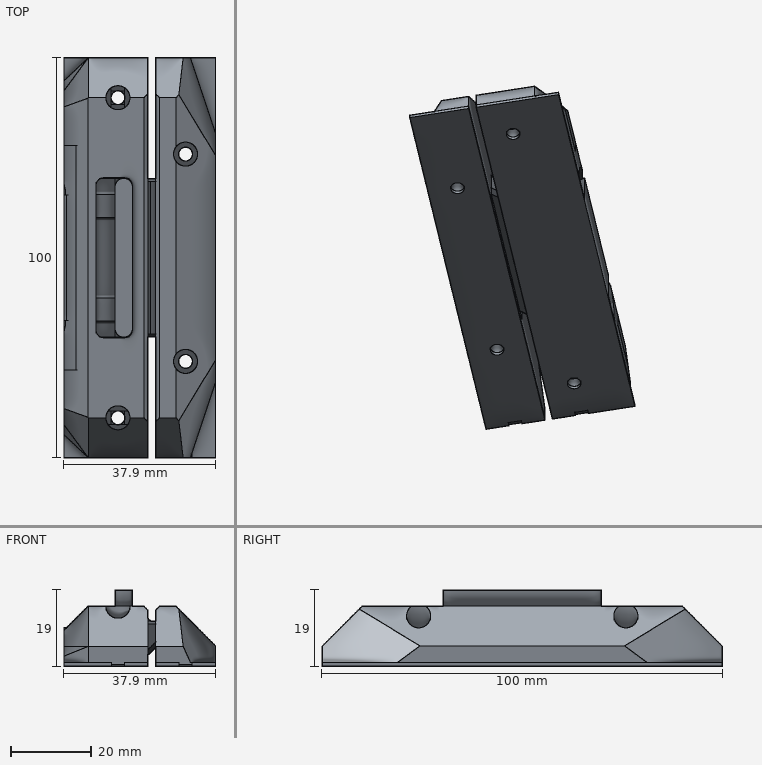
import cadquery as cq
import math

SIN_45 = math.sin(math.radians(45))

LENGTH = 100.0
HALF_LENGTH = LENGTH / 2
HOUSING_WIDTH = 21.0
GAP = 1.9
KEEPER_WIDTH = 15.0
KEEPER_X = HOUSING_WIDTH + GAP
TOTAL_WIDTH = KEEPER_X + KEEPER_WIDTH
PAD_THICKNESS = 1.0
TOP_Z = 15.0

END_WALL_Z = 5.0
END_SLOPE = TOP_Z - END_WALL_Z
GAP_EDGE_CHAMFER = 1.0

HOUSING_SLOPE = 6.0
HOUSING_WALL_Z = TOP_Z - HOUSING_SLOPE
CORNER_X = 6.1
CORNER_Y = 5.8
CORNER_SIDE_Z = 2.5

KEEPER_TOP_EDGE_X = 28.0
KEEPER_SLOPE = TOTAL_WIDTH - KEEPER_TOP_EDGE_X
KEEPER_WALL_Z = TOP_Z - KEEPER_SLOPE
KEEPER_CORNER_X = 29.8
KEEPER_CORNER_FOOT_X = 31.6
KEEPER_CORNER_Y = 25.7

PARTING_Z = 5.0
STEP_Z = 12.0
STEP_HALF_LENGTH = 28.0

SCREW_D = 3.4
HEAD_D = 6.0
HEAD_SEAT_Z = 5.0
BRIDGE_STEP = 0.4
HOUSING_SCREW_X = 13.5
HOUSING_SCREW_Y = 40.0
KEEPER_SCREW_X = 30.4
KEEPER_SCREW_Y = 25.9

TAB_WIDTH = 3.3
TAB_DEPTH = 1.0
TAB_BOTTOM_Z = 0.4

BOLT_HALF_LENGTH = 19.8
BOLT_BACK_X = 8.0
DECK_Z = 9.2
BOLT_BOTTOM_Z = 3.0
SHOULDER_DROP = 0.7
NOSE_TOP_Z = STEP_Z - SHOULDER_DROP
NOSE_TIP_X = 27.0
NOSE_RAMP_X = 21.3
NOSE_RAMP = NOSE_TIP_X - NOSE_RAMP_X
NOSE_TOP_CHAMFER = 0.7
NOSE_RAMP_CHAMFER = 1.0

RIB_Y = 12.95
RIB_TOP_LENGTH = 5.7
RIB_HEIGHT = 0.9

HANDLE_WIDTH = 4.3
HANDLE_TOP_Z = 19.0
HANDLE_FILLET = 2.0
SLOT_X = BOLT_BACK_X
SLOT_WIDTH = 9.1
SLOT_HALF_LENGTH = 20.0
HANDLE_X = SLOT_X + SLOT_WIDTH - HANDLE_WIDTH

PANEL_HALF_LENGTH = 15.7
PANEL_TOP_Z = 9.7
PANEL_DEPTH = 5.0
SCOOP_FLOOR_Z = 2.2
SCOOP_RADIUS = 7.3
SCOOP_FLARE = 1.2
SCOOP_DEPTH = PANEL_DEPTH


def block(x0, x1, y0, y1, z0, z1):
    """Box between two opposite corners."""
    return cq.Workplane().box(x1 - x0, y1 - y0, z1 - z0, centered=False).translate((x0, y0, z0))


def extrude_along_y(points, half_length):
    """XZ outline extruded evenly to both sides of Y = 0."""
    return cq.Workplane("XZ").polyline(points).close().extrude(half_length, both=True)


def end_profile():
    """Side outline with 45 degree end slopes, extruded across the whole width."""
    points = [
        (-HALF_LENGTH, PAD_THICKNESS),
        (HALF_LENGTH, PAD_THICKNESS),
        (HALF_LENGTH, END_WALL_Z),
        (HALF_LENGTH - END_SLOPE, TOP_Z),
        (-HALF_LENGTH + END_SLOPE, TOP_Z),
        (-HALF_LENGTH, END_WALL_Z),
    ]
    return cq.Workplane("YZ").polyline(points).close().extrude(TOTAL_WIDTH)


def outer_side(a, b, c):
    """Large block on the outer side of the plane through three points."""
    origin = cq.Vector(*a)
    edge = cq.Vector(*b) - origin
    normal = edge.cross(cq.Vector(*c) - origin)
    plane = cq.Plane(origin=origin, xDir=edge, normal=normal)
    return cq.Workplane(plane).box(2 * LENGTH, 2 * LENGTH, LENGTH, centered=(True, True, False))


def cut_both_ends(body, cutter):
    """Cut with the cutter and with its mirror image at the other end."""
    return body.cut(cutter).cut(cutter.mirror("XZ"))


def drill_screw(body, x, y):
    """Counterbored screw hole through the full height."""
    hole = cq.Workplane().center(x, y).circle(SCREW_D / 2).extrude(TOP_Z)
    head = cq.Workplane(origin=(x, y, HEAD_SEAT_Z)).circle(HEAD_D / 2).extrude(TOP_Z)
    return body.cut(hole).cut(head)


def end_notch(x, bottom_z):
    """Small block under the -Y end, centred on x."""
    return block(x - TAB_WIDTH / 2, x + TAB_WIDTH / 2, -HALF_LENGTH, -HALF_LENGTH + TAB_DEPTH,
                 bottom_z, PAD_THICKNESS)


def make_pad(x0, x1, screw_x, screw_y):
    """Thin mounting pad with two screw holes and an end notch."""
    pad = block(x0, x1, -HALF_LENGTH, HALF_LENGTH, 0, PAD_THICKNESS)
    pad = pad.cut(end_notch(screw_x, 0))
    for y in (-screw_y, screw_y):
        pad = drill_screw(pad, screw_x, y)
    return pad


def housing_envelope():
    """Outer shape shared by the base and the cover."""
    section = [
        (0, PAD_THICKNESS),
        (HOUSING_WIDTH, PAD_THICKNESS),
        (HOUSING_WIDTH, TOP_Z - GAP_EDGE_CHAMFER),
        (HOUSING_WIDTH - GAP_EDGE_CHAMFER, TOP_Z),
        (HOUSING_SLOPE, TOP_Z),
        (0, HOUSING_WALL_Z),
    ]
    envelope = extrude_along_y(section, HALF_LENGTH).intersect(end_profile())
    end_point = (CORNER_X, -HALF_LENGTH, END_WALL_Z)
    end_foot = (CORNER_X, -HALF_LENGTH, PAD_THICKNESS)
    slope_point = (CORNER_X, -HALF_LENGTH + END_SLOPE, TOP_Z)
    side_point = (0, -HALF_LENGTH + CORNER_Y, CORNER_SIDE_Z)
    envelope = cut_both_ends(envelope, outer_side(end_point, side_point, end_foot))
    return cut_both_ends(envelope, outer_side(end_point, slope_point, side_point))


def below_parting():
    """Space below the stepped parting line."""
    low = block(0, HOUSING_WIDTH, -HALF_LENGTH, HALF_LENGTH, 0, PARTING_Z)
    step = block(0, HOUSING_WIDTH, -STEP_HALF_LENGTH, STEP_HALF_LENGTH, 0, STEP_Z)
    return low.union(step)


def bridge_steps(y, along_y):
    """Slot and square stepped below the screw head seat."""
    slot_size = (SCREW_D, HEAD_D) if along_y else (HEAD_D, SCREW_D)
    seat = cq.Workplane(origin=(HOUSING_SCREW_X, y, HEAD_SEAT_Z))
    head = seat.circle(HEAD_D / 2).extrude(-BRIDGE_STEP)
    slot = seat.rect(*slot_size).extrude(-BRIDGE_STEP).intersect(head)
    square = seat.rect(SCREW_D, SCREW_D).extrude(-2 * BRIDGE_STEP)
    return slot.union(square)


def make_scoop():
    """Finger scoop at the -Y end of the panel: a dome on a flared foot, flattened along X."""
    foot_z = SCOOP_FLOOR_Z - SCOOP_FLARE
    foot_radius = SCOOP_RADIUS + SCOOP_FLARE
    arc_middle = SCOOP_RADIUS * SIN_45
    round_scoop = (
        cq.Workplane("XZ")
        .moveTo(0, foot_z)
        .lineTo(foot_radius, foot_z)
        .lineTo(SCOOP_RADIUS, SCOOP_FLOOR_Z)
        .threePointArc((arc_middle, SCOOP_FLOOR_Z + arc_middle), (0, SCOOP_FLOOR_Z + SCOOP_RADIUS))
        .close()
        .revolve(360, (0, 0), (0, 1))
    )
    flatten = cq.Matrix(
        [
            [SCOOP_DEPTH / foot_radius, 0, 0, 0],
            [0, 1, 0, 0],
            [0, 0, 1, 0],
        ]
    )
    scoop = cq.Workplane(round_scoop.val().transformGeometry(flatten))
    outer_half = block(-LENGTH, LENGTH, -LENGTH, 0, 0, TOP_Z)
    return scoop.intersect(outer_half).translate((0, -PANEL_HALF_LENGTH, 0))


def make_panel():
    """Flat finger panel standing on the housing pad, in the side wall."""
    return block(0, PANEL_DEPTH, -PANEL_HALF_LENGTH, PANEL_HALF_LENGTH, PAD_THICKNESS, PANEL_TOP_Z)


def make_base():
    """Lower housing with the bolt channel, scoops and panel recess."""
    base = housing_envelope().intersect(below_parting())
    base = base.cut(block(BOLT_BACK_X, HOUSING_WIDTH, -BOLT_HALF_LENGTH, BOLT_HALF_LENGTH,
                          BOLT_BOTTOM_Z, STEP_Z))
    base = cut_both_ends(base, make_scoop()).cut(make_panel())
    for y, along_y in ((-HOUSING_SCREW_Y, False), (HOUSING_SCREW_Y, True)):
        base = drill_screw(base, HOUSING_SCREW_X, y).cut(bridge_steps(y, along_y))
    return base.union(end_notch(HOUSING_SCREW_X, TAB_BOTTOM_Z))


def make_cover():
    """Upper housing with the handle slot."""
    cover = housing_envelope().cut(below_parting())
    slot = block(SLOT_X, SLOT_X + SLOT_WIDTH, -SLOT_HALF_LENGTH, SLOT_HALF_LENGTH, STEP_Z, TOP_Z)
    cover = cover.cut(slot.edges("|Z").fillet(HANDLE_FILLET))
    for y in (-HOUSING_SCREW_Y, HOUSING_SCREW_Y):
        cover = drill_screw(cover, HOUSING_SCREW_X, y)
    return cover


def make_rib(y):
    """Low rib beside the handle, its ends blended into the deck by concave arcs."""
    half_top = RIB_TOP_LENGTH / 2
    half_foot = half_top + RIB_HEIGHT
    top_z = DECK_Z + RIB_HEIGHT
    arc_inset = RIB_HEIGHT * SIN_45
    rib = (
        cq.Workplane("YZ", origin=(SLOT_X, y, 0))
        .moveTo(-half_foot, DECK_Z)
        .lineTo(half_foot, DECK_Z)
        .threePointArc((half_foot - arc_inset, top_z - arc_inset), (half_top, top_z))
        .lineTo(-half_top, top_z)
        .threePointArc((arc_inset - half_foot, top_z - arc_inset), (-half_foot, DECK_Z))
        .close()
    )
    return rib.extrude(HANDLE_X - SLOT_X)


def make_handle():
    """Rounded grip bar standing on the head of the bolt."""
    bar = block(HANDLE_X, HANDLE_X + HANDLE_WIDTH, -BOLT_HALF_LENGTH, BOLT_HALF_LENGTH,
                STEP_Z, HANDLE_TOP_Z)
    return bar.edges("|Z").fillet(HANDLE_FILLET)


def make_bolt():
    """Stepped bolt with a ramped nose, its grip bar and two raised ribs beside the bar."""
    deck = block(BOLT_BACK_X, HANDLE_X, -BOLT_HALF_LENGTH, BOLT_HALF_LENGTH, BOLT_BOTTOM_Z, DECK_Z)
    head = block(HANDLE_X, HOUSING_WIDTH, -BOLT_HALF_LENGTH, BOLT_HALF_LENGTH, BOLT_BOTTOM_Z, STEP_Z)
    nose_outline = [
        (HOUSING_WIDTH, BOLT_BOTTOM_Z),
        (NOSE_RAMP_X, BOLT_BOTTOM_Z),
        (NOSE_TIP_X, BOLT_BOTTOM_Z + NOSE_RAMP),
        (NOSE_TIP_X, NOSE_TOP_Z),
        (HOUSING_WIDTH, NOSE_TOP_Z),
    ]
    nose = extrude_along_y(nose_outline, BOLT_HALF_LENGTH)
    nose = nose.faces(">Z").edges("|X").chamfer(NOSE_TOP_CHAMFER)
    ramp_middle = (NOSE_RAMP_X + NOSE_RAMP / 2, 0, BOLT_BOTTOM_Z + NOSE_RAMP / 2)
    ramp_edges = nose.faces(cq.NearestToPointSelector(ramp_middle)).edges("<Y or >Y")
    nose = ramp_edges.chamfer(NOSE_RAMP_CHAMFER)
    shoulder = extrude_along_y(
        [
            (HOUSING_WIDTH, NOSE_TOP_Z),
            (HOUSING_WIDTH + SHOULDER_DROP, NOSE_TOP_Z),
            (HOUSING_WIDTH, STEP_Z),
        ],
        BOLT_HALF_LENGTH - NOSE_TOP_CHAMFER,
    )
    bolt = deck.union(head).union(nose).union(shoulder).union(make_handle())
    for y in (-RIB_Y, RIB_Y):
        bolt = bolt.union(make_rib(y))
    return bolt


def make_keeper():
    """Fixed keeper with a blind pocket for the bolt nose."""
    section = [
        (KEEPER_X, PAD_THICKNESS),
        (TOTAL_WIDTH, PAD_THICKNESS),
        (TOTAL_WIDTH, KEEPER_WALL_Z),
        (KEEPER_TOP_EDGE_X, TOP_Z),
        (KEEPER_X + GAP_EDGE_CHAMFER, TOP_Z),
        (KEEPER_X, TOP_Z - GAP_EDGE_CHAMFER),
    ]
    keeper = extrude_along_y(section, HALF_LENGTH).intersect(end_profile())
    end_point = (KEEPER_CORNER_X, -HALF_LENGTH, END_WALL_Z)
    end_foot = (KEEPER_CORNER_FOOT_X, -HALF_LENGTH, PAD_THICKNESS)
    side_point = (TOTAL_WIDTH, -KEEPER_CORNER_Y, END_WALL_Z)
    keeper = cut_both_ends(keeper, outer_side(end_point, end_foot, side_point))
    keeper = keeper.cut(block(KEEPER_X, NOSE_TIP_X, -BOLT_HALF_LENGTH, BOLT_HALF_LENGTH,
                              BOLT_BOTTOM_Z, NOSE_TOP_Z))
    for y in (-KEEPER_SCREW_Y, KEEPER_SCREW_Y):
        keeper = drill_screw(keeper, KEEPER_SCREW_X, y)
    return keeper.union(end_notch(KEEPER_SCREW_X, TAB_BOTTOM_Z))


housing_pad = make_pad(0, HOUSING_WIDTH, HOUSING_SCREW_X, HOUSING_SCREW_Y).union(make_panel())
keeper_pad = make_pad(KEEPER_X, TOTAL_WIDTH, KEEPER_SCREW_X, KEEPER_SCREW_Y)
base = make_base()
cover = make_cover()
bolt = make_bolt()
keeper = make_keeper()

bodies = [housing_pad, keeper_pad, base, cover, bolt, keeper]
result = cq.Compound.makeCompound([body.solids().val() for body in bodies])